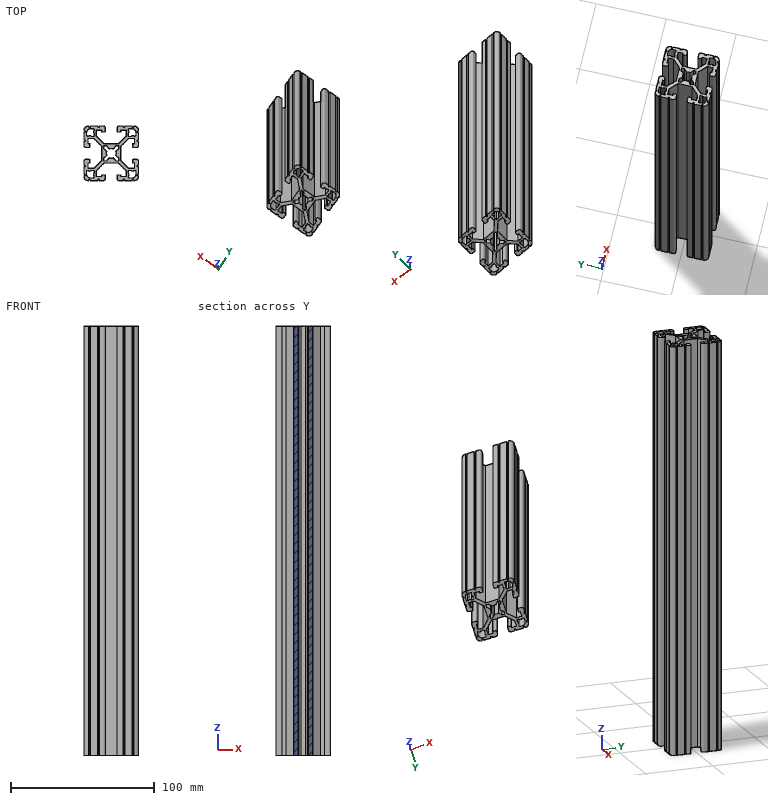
import cadquery as cq
import math

length = 298.45
side = 38.1
corner_radius = 3.175

slot_opening = 8.1
slot_width = 20.6
flange_thickness = 3.0
lip_width = 2.7
lip_depth = 4.2
lip_outer_radius = 1.5
lip_inner_radius = 0.6

arm_thickness = 2.54
core_width = 13.4
core_wall = 1.5
bore_radius = 3.33
boss_tip_width = 2.8
boss_root_width = 6.6

groove_offsets = (8.75, 15.05)
groove_width = 1.4
groove_floor_width = 0.5
groove_inner_depth = 0.9
groove_outer_depth = 1.05

cavity_near = 11.9
cavity_far = 17.1
cavity_outer_radius = 2.8
cavity_side_radius = 0.8
ridge_offset = 14.97
ridge_width = 2.65
ridge_height = 0.6

half_side = side / 2
half_opening = slot_opening / 2
half_core = core_width / 2
overcut = 1.0
edge_reach = 0.05


def prism(points):
    """Extrude a closed polygon over the full bar length."""
    return cq.Workplane("XY").polyline(points).close().extrude(length)


def turned(shape, quarters):
    """Turn a shape about the bar axis by whole quarter turns."""
    return shape.rotate((0, 0, 0), (0, 0, 1), 90 * quarters)


def cut_all_sides(body, tool):
    """Cut a tool, then its three quarter turns, from the body."""
    for quarters in range(4):
        body = body.cut(turned(tool, quarters))
    return body


def mirrored_prism(points):
    """Extrude an outline given by its right half, mirrored about the Y axis."""
    left = [(-x, y) for x, y in reversed(points)]
    return prism(points + left)


def fillet_at(body, x, y, radius):
    """Round the lengthwise edge that runs through (x, y)."""
    low = (x - edge_reach, y - edge_reach, 0)
    high = (x + edge_reach, y + edge_reach, length)
    box = cq.selectors.BoxSelector(low, high)
    return body.edges(box).fillet(radius)


def slot_tool():
    """Void of the +Y slot, with rounded lips at its mouth."""
    hook = half_opening + lip_width
    wall = slot_width / 2
    ceiling = half_side - flange_thickness
    arm_shift = arm_thickness / math.sqrt(2)
    lip_bottom = half_side - lip_depth
    right = [
        (half_opening, half_side + overcut),
        (half_opening, lip_bottom),
        (hook, lip_bottom),
        (hook, ceiling),
        (wall, ceiling),
        (wall, wall + arm_shift),
        (half_core - arm_shift, half_core),
    ]
    tool = mirrored_prism(right)
    for x in (-half_opening, half_opening):
        tool = fillet_at(tool, x, lip_bottom, lip_inner_radius)
    return tool


def groove_tool(offset):
    """Groove in the +Y face with two sloping walls and a slightly tilted floor."""
    return prism([
        (offset - groove_width / 2, half_side),
        (offset - groove_floor_width / 2, half_side - groove_inner_depth),
        (offset + groove_floor_width / 2, half_side - groove_outer_depth),
        (offset + groove_width / 2, half_side),
    ])


def cavity_tool():
    """Void of the +X +Y corner, with a ridge on each of its two inner walls."""
    start = ridge_offset - ridge_width / 2
    end = ridge_offset + ridge_width / 2
    peak = cavity_near + ridge_height
    floor = [(start, cavity_near), (ridge_offset, peak), (end, cavity_near)]
    wall = [(y, x) for x, y in reversed(floor)]
    corners = [(cavity_far, cavity_near), (cavity_far, cavity_far), (cavity_near, cavity_far)]
    tool = prism([(cavity_near, cavity_near)] + floor + corners + wall)
    tool = fillet_at(tool, cavity_far, cavity_far, cavity_outer_radius)
    tool = fillet_at(tool, cavity_far, cavity_near, cavity_side_radius)
    tool = fillet_at(tool, cavity_near, cavity_far, cavity_side_radius)
    return tool


def core_tool():
    """Square pocket of the core, less the four bosses that surround the bore."""
    half_pocket = half_core - core_wall
    tip_y = math.sqrt(bore_radius**2 - (boss_tip_width / 2) ** 2)
    boss = (
        cq.Workplane("XY")
        .moveTo(boss_root_width / 2, half_pocket)
        .lineTo(boss_tip_width / 2, tip_y)
        .threePointArc((0, bore_radius), (-boss_tip_width / 2, tip_y))
        .lineTo(-boss_root_width / 2, half_pocket)
        .close()
        .extrude(length)
    )
    pocket = cq.Workplane("XY").rect(2 * half_pocket, 2 * half_pocket).extrude(length)
    return cut_all_sides(pocket, boss)


body = cq.Workplane("XY").rect(side, side).extrude(length)
body = body.edges("|Z").fillet(corner_radius)
body = cut_all_sides(body, slot_tool())
for along in (-half_opening, half_opening):
    for face in (-half_side, half_side):
        body = fillet_at(body, along, face, lip_outer_radius)
        body = fillet_at(body, face, along, lip_outer_radius)
for offset in groove_offsets:
    groove = groove_tool(offset)
    body = cut_all_sides(body, groove)
    body = cut_all_sides(body, groove.mirror("YZ"))
body = cut_all_sides(body, cavity_tool())
result = body.cut(core_tool())